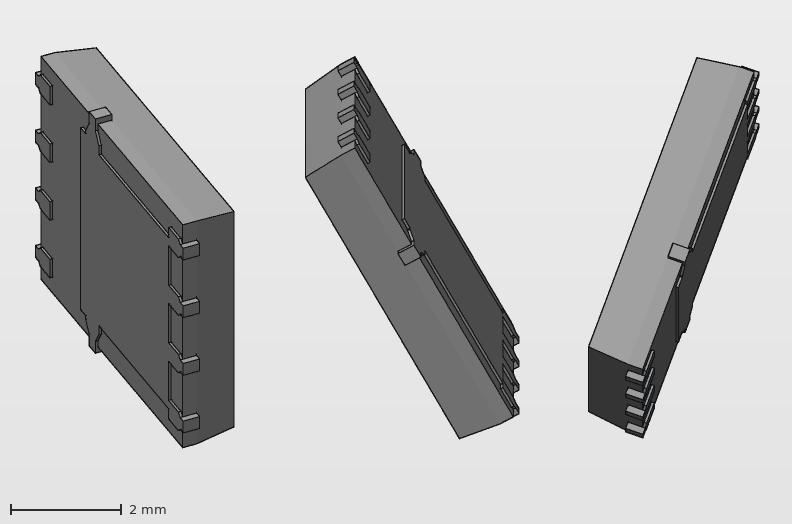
import cadquery as cq
import math

OVERALL_LENGTH = 6.15
OVERALL_HEIGHT = 5.16
OVERALL_THICKNESS = 1.12
LEAD_OVERHANG = 0.125

STANDOFF = 0.05
METAL_THICKNESS = 0.33
DRAFT_ANGLE = 6.0
BODY_LENGTH = OVERALL_LENGTH - 2 * LEAD_OVERHANG
BODY_HEIGHT = OVERALL_HEIGHT - 2 * LEAD_OVERHANG

LEAD_COUNT = 4
LEAD_PITCH = 1.27
PAD_WIDTH = 0.41
TIP_WIDTH = 0.26
PAD_LENGTH = 0.48
PAD_TAPER = (PAD_WIDTH - TIP_WIDTH) / 2

PLATE_LEFT = -1.19
PLATE_HEIGHT = 3.77
STRIP_HEIGHT = 4.01

TIE_CENTER = -0.71
TIE_ROOT_WIDTH = 0.55
TIE_TIP_WIDTH = 0.26
TIE_SHOULDER_Z = 2.08
TIE_NECK_Z = 2.32

HALF_LENGTH = OVERALL_LENGTH / 2
HALF_BODY = BODY_LENGTH / 2
PAD_INNER_X = HALF_BODY - PAD_LENGTH
LEAD_HEIGHTS = [(i - (LEAD_COUNT - 1) / 2) * LEAD_PITCH for i in range(LEAD_COUNT)]


def plane_at(y):
    """Sketch plane facing +Y whose local axes are -X and +Z."""
    return cq.Workplane(cq.Plane(origin=(0, y, 0), xDir=(-1, 0, 0), normal=(0, 1, 0)))


def metal_sheet(points):
    """Flat metal with the given (x, z) outline, from the mounting plane up to the metal thickness."""
    return cq.Workplane("XZ").polyline(points).close().extrude(-METAL_THICKNESS)


def make_lead(side, z):
    """Pad narrowing to a tip; side is -1 for the left edge and +1 for the right edge."""
    profile = [
        (PAD_INNER_X, PAD_WIDTH / 2),
        (HALF_BODY - PAD_TAPER, PAD_WIDTH / 2),
        (HALF_BODY, TIP_WIDTH / 2),
        (HALF_LENGTH, TIP_WIDTH / 2),
    ]
    upper = [(side * x, z + half_width) for x, half_width in profile]
    lower = [(side * x, z - half_width) for x, half_width in reversed(profile)]
    return metal_sheet(upper + lower)


def make_drain_plate():
    """Plate with the right-hand leads and both tie bars as a single piece of metal."""
    root_left = TIE_CENTER - TIE_ROOT_WIDTH / 2
    root_right = TIE_CENTER + TIE_ROOT_WIDTH / 2
    upper = [
        (PLATE_LEFT, STRIP_HEIGHT / 2),
        (root_left, STRIP_HEIGHT / 2),
        (root_left, TIE_SHOULDER_Z),
        (TIE_CENTER - TIE_TIP_WIDTH / 2, TIE_NECK_Z),
        (TIE_CENTER - TIE_TIP_WIDTH / 2, OVERALL_HEIGHT / 2),
        (TIE_CENTER + TIE_TIP_WIDTH / 2, OVERALL_HEIGHT / 2),
        (TIE_CENTER + TIE_TIP_WIDTH / 2, TIE_NECK_Z),
        (root_right, TIE_SHOULDER_Z),
        (root_right, PLATE_HEIGHT / 2),
        (PAD_INNER_X, PLATE_HEIGHT / 2),
    ]
    lower = [(x, -z) for x, z in reversed(upper)]
    plate = metal_sheet(upper + lower)
    for z in LEAD_HEIGHTS:
        plate = plate.union(make_lead(1, z))
    return plate


def make_housing(metal_parts):
    """Straight band around the metal, drafted block behind it, and a recess for every metal part."""
    band_depth = METAL_THICKNESS - STANDOFF
    block_depth = OVERALL_THICKNESS - METAL_THICKNESS
    inset = block_depth * math.tan(math.radians(DRAFT_ANGLE))
    band = plane_at(STANDOFF).rect(BODY_LENGTH, BODY_HEIGHT).extrude(band_depth)
    block = (
        plane_at(METAL_THICKNESS)
        .rect(BODY_LENGTH, BODY_HEIGHT)
        .workplane(offset=block_depth)
        .rect(BODY_LENGTH - 2 * inset, BODY_HEIGHT - 2 * inset)
        .loft(ruled=True)
    )
    housing = band.union(block)
    for metal in metal_parts:
        housing = housing.cut(metal)
    return housing


source_leads = [make_lead(-1, z) for z in LEAD_HEIGHTS]
drain_plate = make_drain_plate()
housing = make_housing(source_leads + [drain_plate])

result = cq.Compound.makeCompound(
    [
        *housing.solids().vals(),
        *drain_plate.solids().vals(),
        *[lead.val() for lead in source_leads],
    ]
)